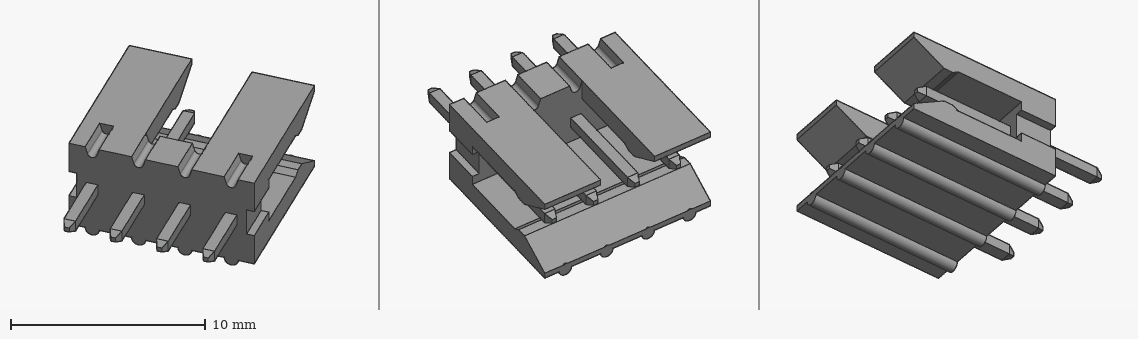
import cadquery as cq
import math


total_length = 12.85
total_height = 5.54

pin_count = 4
pitch = 2.54
pin_width = 0.64
pin_tip_width = 0.26
pin_taper_length = 0.43
pin_front_length = 3.79
pin_back_end = 8.0

width = pin_count * pitch
bump_radius = 0.38
height = total_height - bump_radius
length = total_length - pin_front_length
base_depth = 2.18
mid_height = height / 2

arm_thickness = 1.26
arm_tip_thickness = 0.35
ridge_thickness = 1.48
ridge_ramp_length = 1.92
ridge_flat_length = 0.56
ridge_back_length = 0.37

slot_width = 3.30
side_recess_depth = 0.42
side_recess_height = 1.54
groove_depth = 0.60
groove_half_width = 0.38
groove_radius = 0.26

pin_positions = [(i - (pin_count - 1) / 2) * pitch for i in range(pin_count)]


def make_base():
    """Solid block that carries the pins."""
    return cq.Workplane("XY").box(width, base_depth, height, centered=(True, False, False))


def make_lower_arm():
    """Full-length arm with a lead-in ramp and a latching ridge on its inner side."""
    ridge_front = length - ridge_ramp_length
    ridge_back = ridge_front - ridge_flat_length
    ridge_foot = ridge_back - ridge_back_length
    return (
        cq.Workplane("YZ")
        .moveTo(0, 0)
        .lineTo(length, 0)
        .lineTo(length, arm_tip_thickness)
        .lineTo(ridge_front, ridge_thickness)
        .lineTo(ridge_back, ridge_thickness)
        .lineTo(ridge_foot, arm_thickness)
        .lineTo(0, arm_thickness)
        .close()
        .extrude(width / 2, both=True)
    )


def make_upper_arms(lower_arm):
    """Mirrored arm, split in two by a central slot that stops at the base."""
    slot = (
        cq.Workplane("XY")
        .box(slot_width, length - base_depth, height, centered=(True, False, False))
        .translate((0, base_depth, 0))
    )
    return lower_arm.mirror("XY", (0, 0, mid_height)).cut(slot)


def make_side_recess(side):
    """Cutter for the recess in one end face of the base (side is -1 or 1)."""
    return (
        cq.Workplane("XY")
        .box(2 * side_recess_depth, base_depth, side_recess_height, centered=(True, False, True))
        .translate((side * width / 2, 0, mid_height))
    )


def make_groove(x):
    """Cutter for a round-bottomed groove whose sloping sides are tangent to the bottom arc."""
    center_depth = groove_depth - groove_radius
    edge_distance = math.hypot(groove_half_width, center_depth)
    tilt = math.acos(groove_radius / edge_distance) - math.atan2(center_depth, groove_half_width)
    tangent_x = groove_radius * math.cos(tilt)
    tangent_z = height - center_depth - groove_radius * math.sin(tilt)
    return (
        cq.Workplane("XZ")
        .moveTo(x - groove_half_width, height)
        .lineTo(x - tangent_x, tangent_z)
        .threePointArc((x, height - groove_depth), (x + tangent_x, tangent_z))
        .lineTo(x + groove_half_width, height)
        .close()
        .extrude(-base_depth)
    )


def make_bump(x):
    """Half-round rib along the whole underside."""
    return cq.Workplane("XZ").center(x, 0).circle(bump_radius).extrude(-length)


def make_pin(x):
    """Square pin through the base, tapered at both ends."""
    front_shoulder = pin_taper_length - pin_front_length
    back_shoulder = pin_back_end - pin_taper_length

    def section(y, size):
        return cq.Workplane("XZ", origin=(x, y, mid_height)).rect(size, size)

    shank = section(front_shoulder, pin_width).extrude(front_shoulder - back_shoulder)
    front_tip = (
        section(front_shoulder, pin_width)
        .workplane(offset=pin_taper_length)
        .rect(pin_tip_width, pin_tip_width)
        .loft(ruled=True)
    )
    back_tip = (
        section(back_shoulder, pin_width)
        .workplane(offset=-pin_taper_length)
        .rect(pin_tip_width, pin_tip_width)
        .loft(ruled=True)
    )
    return shank.union(front_tip).union(back_tip)


lower_arm = make_lower_arm()
result = make_base().union(lower_arm).union(make_upper_arms(lower_arm))

for side in (-1, 1):
    result = result.cut(make_side_recess(side))

for x in pin_positions:
    result = result.cut(make_groove(x)).union(make_bump(x)).union(make_pin(x))